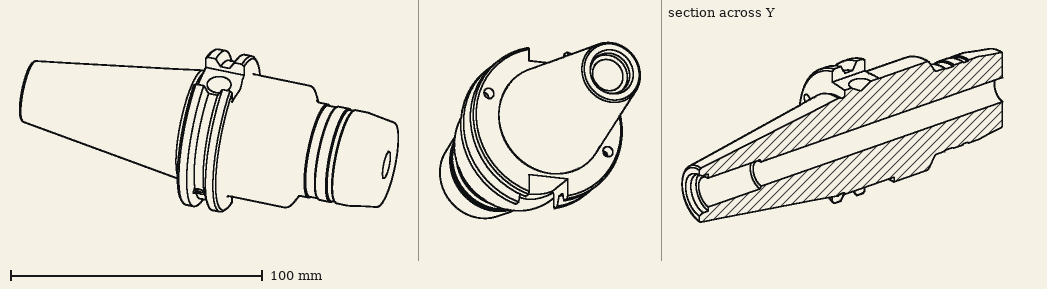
import cadquery as cq
import math

length = 148.8

taper_slope = 7 / 48
taper_length = 68.1
taper_large_radius = 44.5 / 2
taper_small_radius = taper_large_radius - taper_slope * taper_length
shank_end_chamfer = 0.7
relief_radius = 43.6 / 2
relief_start = 69.5
relief_fillet = 0.5

flange_start = 71.3
flange_width = 15.9
flange_end = flange_start + flange_width
flange_radius = 63.2 / 2
flange_chamfer = 0.9
groove_radius = 28.1
groove_centre = 79.3
groove_floor_width = 3.7
groove_wall_angle = 30
groove_mouth_width = groove_floor_width + 2 * (
    (flange_radius - groove_radius) * math.tan(math.radians(groove_wall_angle))
)

body_radius = 49.5 / 2
body_end = 112.5
body_root_fillet = 1.3
shoulder_angle = 60
shoulder_outer_fillet = 2.0
shoulder_inner_fillet = 1.5
nose_radius = 38.0 / 2
nose_groove_radius = 37.0 / 2
nose_groove_depth = nose_radius - nose_groove_radius
nose_grooves = ((120.3, 125.0), (129.3, 132.1))
nose_taper_start = 137.0
nose_end_radius = 17.1
nose_fillet = 0.9
shoulder_length = (body_radius - nose_radius) / math.tan(math.radians(shoulder_angle))

slot_width = 16.4
top_slot_floor = 24.8
bottom_slot_floor = 22.6
slot_end = 95.5
dimple_diameter = 9.5
dimple_angle = 118

bore_mouth_diameter = 18.3
pilot_diameter = 16.7
pilot_depth = 4.5
thread_diameter = 13.0
thread_depth = 29.8
through_diameter = 10.9
mouth_chamfer = 2.0
bore_step_angle = 59

coolant_angle = 20.3
coolant_radius = 26.9
axial_hole_diameter = 4.2
axial_hole_depth = 6.0
radial_hole_diameter = 4.0
radial_hole_floor = 27.2
drill_tip_angle = 118


def revolve_about_axis(points):
    """Turn an (X, radius) outline around the X axis."""
    return cq.Workplane("XY").polyline(points).close().revolve(360, (0, 0, 0), (1, 0, 0))


def fillet_rim(part, x, radius, fillet):
    """Round the circular edge of the given radius at position x."""
    tolerance = 0.01
    rim = part.edges("%CIRCLE").filter(
        lambda edge: abs(edge.Center().x - x) < tolerance and abs(edge.radius() - radius) < tolerance
    )
    return rim.fillet(fillet)


def drill(diameter, depth):
    """Drill shape along +Z from the origin, with a conical tip beyond its full depth."""
    radius = diameter / 2
    tip = radius / math.tan(math.radians(drill_tip_angle / 2))
    profile = [(0, 0), (radius, 0), (radius, depth), (0, depth + tip)]
    return cq.Workplane("XZ").polyline(profile).close().revolve(360, (0, 0, 0), (0, 1, 0))


def turned_blank():
    """Solid of revolution with its rounded corners, before any holes or slots."""
    chamfer_drop = shank_end_chamfer * taper_slope
    outline = [
        (0, 0),
        (0, taper_small_radius + chamfer_drop - shank_end_chamfer),
        (shank_end_chamfer, taper_small_radius + chamfer_drop),
        (taper_length, taper_large_radius),
        (relief_start, relief_radius),
        (flange_start, relief_radius),
        (flange_start, flange_radius - flange_chamfer),
        (flange_start + flange_chamfer, flange_radius),
        (groove_centre - groove_mouth_width / 2, flange_radius),
        (groove_centre - groove_floor_width / 2, groove_radius),
        (groove_centre + groove_floor_width / 2, groove_radius),
        (groove_centre + groove_mouth_width / 2, flange_radius),
        (flange_end - flange_chamfer, flange_radius),
        (flange_end, flange_radius - flange_chamfer),
        (flange_end, body_radius),
        (body_end, body_radius),
        (body_end + shoulder_length, nose_radius),
    ]
    for start, end in nose_grooves:
        outline += [
            (start, nose_radius),
            (start + nose_groove_depth, nose_groove_radius),
            (end - nose_groove_depth, nose_groove_radius),
            (end, nose_radius),
        ]
    outline += [(nose_taper_start, nose_radius), (length, nose_end_radius), (length, 0)]

    blank = revolve_about_axis(outline)
    blank = fillet_rim(blank, flange_start, relief_radius, relief_fillet)
    blank = fillet_rim(blank, flange_end, body_radius, body_root_fillet)
    blank = fillet_rim(blank, body_end, body_radius, shoulder_outer_fillet)
    blank = fillet_rim(blank, body_end + shoulder_length, nose_radius, shoulder_inner_fillet)
    return fillet_rim(blank, length, nose_end_radius, nose_fillet)


def axial_bore():
    """Stepped through bore, widest at the small end of the taper."""
    mouth_radius = bore_mouth_diameter / 2
    pilot_radius = pilot_diameter / 2
    thread_radius = thread_diameter / 2
    through_radius = through_diameter / 2
    step_length = (thread_radius - through_radius) / math.tan(math.radians(bore_step_angle))
    return revolve_about_axis([
        (0, 0),
        (0, mouth_radius),
        (mouth_chamfer, pilot_radius),
        (pilot_depth, pilot_radius),
        (pilot_depth, thread_radius),
        (thread_depth, thread_radius),
        (thread_depth + step_length, through_radius),
        (length, through_radius),
        (length, 0),
    ])


def drive_slot(floor):
    """Slot above the height `floor`, open towards the shank and rounded at its far end."""
    slot_radius = slot_width / 2
    straight = slot_end - slot_radius - flange_start
    plan = cq.Workplane("XY").workplane(offset=floor).moveTo(flange_start, -slot_radius)
    plan = plan.hLine(straight).threePointArc((slot_end, 0), (flange_start + straight, slot_radius))
    return plan.hLine(-straight).close().extrude(flange_radius)


def slot_dimple():
    """Conical dimple in the floor of the top slot."""
    radius = dimple_diameter / 2
    depth = radius / math.tan(math.radians(dimple_angle / 2))
    cone = cq.Solid.makeCone(
        radius, 0, depth, cq.Vector(groove_centre, 0, top_slot_floor), cq.Vector(0, 0, -1)
    )
    return cq.Workplane(cone)


def coolant_passage():
    """Axial hole from the flange face and the radial hole in the groove, on the +Y side."""
    axial = drill(axial_hole_diameter, axial_hole_depth)
    axial = axial.rotate((0, 0, 0), (0, 1, 0), 90).translate((flange_start, coolant_radius, 0))
    radial = drill(radial_hole_diameter, flange_radius - radial_hole_floor)
    radial = radial.rotate((0, 0, 0), (1, 0, 0), 90).translate((groove_centre, flange_radius, 0))
    return axial.union(radial).rotate((0, 0, 0), (1, 0, 0), coolant_angle)


result = turned_blank().cut(axial_bore())
result = result.cut(drive_slot(top_slot_floor)).cut(slot_dimple())
result = result.cut(drive_slot(bottom_slot_floor).rotate((0, 0, 0), (1, 0, 0), 180))
for half_turn in (0, 180):
    result = result.cut(coolant_passage().rotate((0, 0, 0), (1, 0, 0), half_turn))